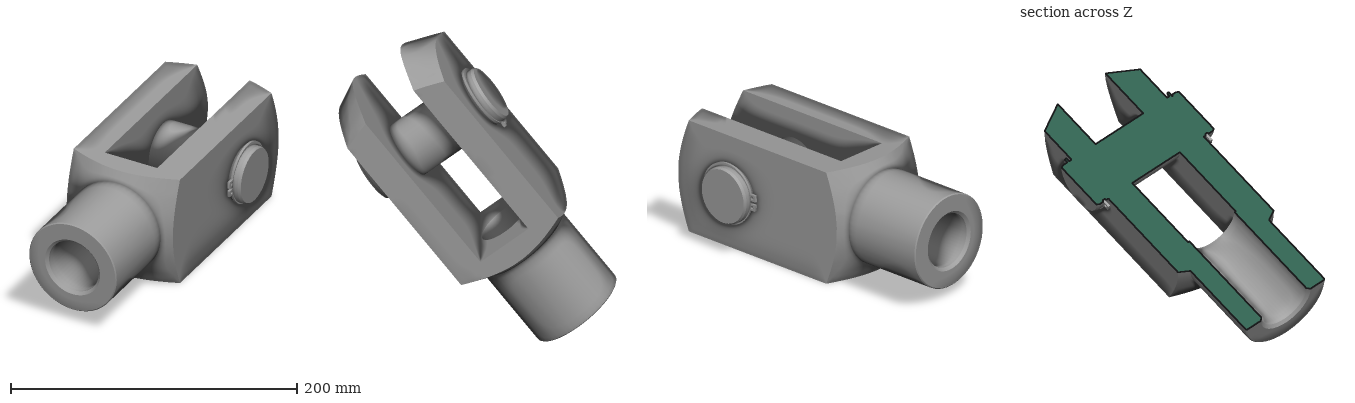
import cadquery as cq
import math

body_side = 85.0
slot_width = 42.0
total_length = 232.0
pin_to_neck_end = 168.0
slot_floor_from_neck_end = 84.0
end_cone_angle = 30.0

neck_diameter = 70.0
neck_length = 63.5
neck_chamfer = 0.75
bore_diameter = 39.84
bore_mouth_diameter = 44.0

pin_diameter = 42.0
pin_length = 104.3
pin_chamfer_length = 2.0
pin_chamfer_depth = 1.0
groove_diameter = 39.5
groove_width = 1.85

ring_thickness = 1.75
ring_outer_diameter = 45.7
ring_offset = 1.25
ring_to_body_gap = 2.0
lug_reach = 25.7
lug_half_span = 6.1
ring_gap = 2.2
lug_hole_diameter = 2.5
lug_hole_reach = 22.5
lug_hole_height = 3.6

neck_end_y = -pin_to_neck_end
tip_y = neck_end_y + total_length
shoulder_y = neck_end_y + neck_length
slot_floor_y = neck_end_y + slot_floor_from_neck_end
cone_slope = math.tan(math.radians(end_cone_angle))
neck_radius = neck_diameter / 2
ring_inner_x = body_side / 2 + ring_to_body_gap


def revolve_about_y(outline):
    """Turn an outline of (radius, y) points about the Y axis."""
    return cq.Workplane("XY").polyline(outline).close().revolve(360, (0, 0, 0), (0, 1, 0))


def cylinder_along_x(diameter, start_x, length):
    return cq.Workplane("YZ").workplane(offset=start_x).circle(diameter / 2).extrude(length)


def make_fork():
    """Square bar with both ends turned conical, on a round neck, slotted and bored."""
    corner_radius = body_side
    tip_radius = slot_width / 2
    turned = revolve_about_y([
        (0, shoulder_y),
        (neck_radius, shoulder_y),
        (corner_radius, shoulder_y + (corner_radius - neck_radius) * cone_slope),
        (corner_radius, tip_y - (corner_radius - tip_radius) * cone_slope),
        (tip_radius, tip_y),
        (0, tip_y),
    ])
    bar = cq.Workplane("XY").box(body_side, 2 * total_length, body_side)
    neck = revolve_about_y([
        (0, neck_end_y),
        (neck_radius - neck_chamfer, neck_end_y),
        (neck_radius, neck_end_y + neck_chamfer),
        (neck_radius, shoulder_y),
        (0, shoulder_y),
    ])
    slot = (
        cq.Workplane("XY")
        .box(slot_width, tip_y - slot_floor_y, body_side, centered=(True, False, True))
        .translate((0, slot_floor_y, 0))
    )
    bore_radius = bore_diameter / 2
    mouth_radius = bore_mouth_diameter / 2
    bore = revolve_about_y([
        (0, neck_end_y),
        (mouth_radius, neck_end_y),
        (bore_radius, neck_end_y + mouth_radius - bore_radius),
        (bore_radius, slot_floor_y),
        (0, slot_floor_y),
    ])
    return turned.intersect(bar).union(neck).cut(slot).cut(bore)


def make_pin():
    """Round pin with chamfered ends and a ring groove outside each fork arm."""
    pin = (
        cylinder_along_x(pin_diameter, -pin_length / 2, pin_length)
        .faces("<X or >X")
        .chamfer(pin_chamfer_length, pin_chamfer_depth)
    )
    for groove_start in (ring_inner_x, -ring_inner_x - groove_width):
        groove = cylinder_along_x(pin_diameter, groove_start, groove_width).cut(
            cylinder_along_x(groove_diameter, groove_start, groove_width)
        )
        pin = pin.cut(groove)
    return pin


def make_ring(start_x):
    """Open retaining ring with two drilled lugs pointing to -Y."""
    plane = cq.Workplane("YZ").workplane(offset=start_x)
    ring = plane.center(ring_offset, 0).circle(ring_outer_diameter / 2).extrude(ring_thickness)
    lugs = (
        plane.center(-lug_reach / 2, 0)
        .rect(lug_reach, 2 * lug_half_span)
        .extrude(ring_thickness)
        .intersect(cylinder_along_x(2 * lug_reach, start_x, ring_thickness))
    )
    gap = plane.center(-lug_reach / 2, 0).rect(lug_reach, ring_gap).extrude(ring_thickness)
    holes = (
        plane.pushPoints([(-lug_hole_reach, side * lug_hole_height) for side in (-1, 1)])
        .circle(lug_hole_diameter / 2)
        .extrude(ring_thickness)
    )
    seat = cylinder_along_x(groove_diameter, start_x, ring_thickness)
    return ring.union(lugs).cut(gap).cut(holes).cut(seat)


result = make_fork().union(make_pin())
for ring_start in (ring_inner_x, -ring_inner_x - ring_thickness):
    result = result.union(make_ring(ring_start))